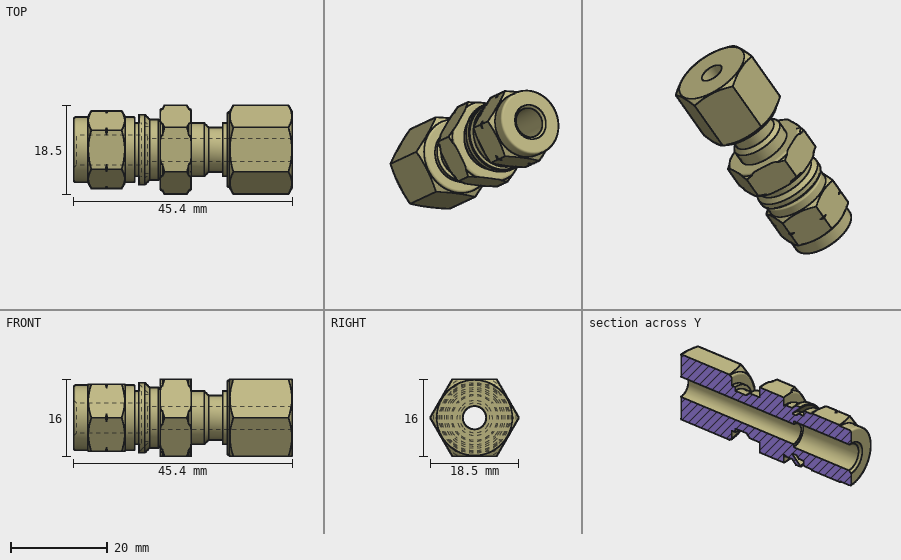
import cadquery as cq
import math


LENGTH = 45.39
CORNER_ANGLE = math.radians(30)

NUT_DIAMETER = 13.6
NUT_ACROSS_FLATS = 14.0
NUT_HEX_START = 2.93
NUT_HEX_END = 10.7
NUT_END = 12.7
NUT_FRONT_FILLET = 0.45
NUT_BACK_FILLET = 0.3

NOTCH_BOTTOM_RADIUS = 7.68
NOTCH_HALF_WIDTH = 0.2

NECK_DIAMETER = 11.11
FLANGE_START = 13.55
FLANGE_END = 14.8
FLANGE_DIAMETER = 14.6
SHOULDER_START = 15.75
SHOULDER_END = 17.55
SHOULDER_DIAMETER = 12.6
STEM_CONE_START = 27.1
STEM_CONE_END = 28.0
STEM_DIAMETER = 9.3
COLLAR_START = 30.9

FLANGE_RECESS_DIAMETER = 14.1
NECK_END = 14.0
RELIEF_DIAMETER = 9.8

ACROSS_FLATS = 16.0
BODY_HEX_START = 17.95
BODY_HEX_END = 24.4
BODY_HEX_RIM_RADIUS = 8.55
END_HEX_START = 31.85
END_HEX_RIM_RADIUS = 7.85
RIM_FILLET = 0.5

BORE_DIAMETER = 4.8
SOCKET_DIAMETER = 6.2
SOCKET_DEPTH = 15.3
SOCKET_CHAMFER = 0.55


def cylinder(start, end, diameter):
    return cq.Workplane("YZ", origin=(start, 0, 0)).circle(diameter / 2).extrude(end - start)


def revolve_about_x(profile):
    """Revolve a closed profile of (x, radius) points about the X axis."""
    return profile.close().revolve(360, (0, 0, 0), (1, 0, 0))


def corner_radius(across_flats):
    return across_flats / math.sqrt(3)


def corner_chamfer_length(across_flats, start_radius):
    """Axial length of the corner cone from start_radius out to the hexagon corners."""
    return (corner_radius(across_flats) - start_radius) * math.tan(CORNER_ANGLE)


def hexagon(start, end, across_flats):
    """Hexagonal prism along X with corners on +Y and -Y and flats facing +Z and -Z."""
    diagonal = 2 * corner_radius(across_flats)
    return cq.Workplane("YZ", origin=(start, 0, 0)).polygon(6, diagonal).extrude(end - start)


def tube_nut():
    radius = NUT_DIAMETER / 2
    corner = corner_radius(NUT_ACROSS_FLATS)
    chamfer = corner_chamfer_length(NUT_ACROSS_FLATS, radius)
    barrel = cylinder(0, NUT_END, NUT_DIAMETER).faces("<X").edges().fillet(NUT_FRONT_FILLET)
    barrel = barrel.faces(">X").edges().fillet(NUT_BACK_FILLET)
    envelope = revolve_about_x(
        cq.Workplane("XY")
        .moveTo(NUT_HEX_START, 0)
        .lineTo(NUT_HEX_START, radius)
        .lineTo(NUT_HEX_START + chamfer, corner)
        .lineTo(NUT_HEX_END - chamfer, corner)
        .lineTo(NUT_HEX_END, radius)
        .lineTo(NUT_HEX_END, 0)
    )
    prism = hexagon(NUT_HEX_START, NUT_HEX_END, NUT_ACROSS_FLATS)
    return prism.intersect(envelope).cut(corner_notch()).union(barrel)


def corner_notch():
    middle = (NUT_HEX_START + NUT_HEX_END) / 2
    corner = corner_radius(NUT_ACROSS_FLATS)
    return revolve_about_x(
        cq.Workplane("XY")
        .moveTo(middle, NOTCH_BOTTOM_RADIUS)
        .lineTo(middle + NOTCH_HALF_WIDTH, corner)
        .lineTo(middle - NOTCH_HALF_WIDTH, corner)
    )


def turned_body():
    """Neck, recessed flange, shoulder, stem and collar; the recess and relief cones are at 45 degrees."""
    neck = NECK_DIAMETER / 2
    recess = FLANGE_RECESS_DIAMETER / 2
    relief = RELIEF_DIAMETER / 2
    recess_bottom = FLANGE_START + recess - relief
    flange = FLANGE_DIAMETER / 2
    shoulder = SHOULDER_DIAMETER / 2
    stem = STEM_DIAMETER / 2
    shoulder_chamfer = BODY_HEX_START - SHOULDER_END
    return revolve_about_x(
        cq.Workplane("XY")
        .moveTo(NUT_END, 0)
        .lineTo(NUT_END, neck)
        .lineTo(NECK_END, neck)
        .lineTo(NECK_END + neck - relief, relief)
        .lineTo(recess_bottom, relief)
        .lineTo(FLANGE_START, recess)
        .lineTo(FLANGE_START, flange)
        .lineTo(FLANGE_END, flange)
        .lineTo(SHOULDER_START, shoulder)
        .lineTo(SHOULDER_END, shoulder)
        .lineTo(BODY_HEX_START, shoulder - shoulder_chamfer)
        .lineTo(BODY_HEX_START, neck)
        .lineTo(STEM_CONE_START, neck)
        .lineTo(STEM_CONE_END, stem)
        .lineTo(COLLAR_START, stem)
        .lineTo(COLLAR_START, neck)
        .lineTo(END_HEX_START, neck)
        .lineTo(END_HEX_START, 0)
    )


def body_hexagon():
    """Middle hexagon, each end with a rounded rim followed by a corner cone."""
    rim = BODY_HEX_RIM_RADIUS
    corner = corner_radius(ACROSS_FLATS)
    chamfer = corner_chamfer_length(ACROSS_FLATS, rim)
    envelope = revolve_about_x(
        cq.Workplane("XY")
        .moveTo(BODY_HEX_START, 0)
        .lineTo(BODY_HEX_START, rim - RIM_FILLET)
        .radiusArc((BODY_HEX_START + RIM_FILLET, rim), RIM_FILLET)
        .lineTo(BODY_HEX_START + RIM_FILLET + chamfer, corner)
        .lineTo(BODY_HEX_END - RIM_FILLET - chamfer, corner)
        .lineTo(BODY_HEX_END - RIM_FILLET, rim)
        .radiusArc((BODY_HEX_END, rim - RIM_FILLET), RIM_FILLET)
        .lineTo(BODY_HEX_END, 0)
    )
    return hexagon(BODY_HEX_START, BODY_HEX_END, ACROSS_FLATS).intersect(envelope)


def end_hexagon():
    """End hexagon with a rounded round rim on its inner face and corner cones at both ends."""
    rim = END_HEX_RIM_RADIUS
    corner = corner_radius(ACROSS_FLATS)
    chamfer = corner_chamfer_length(ACROSS_FLATS, rim)
    envelope = revolve_about_x(
        cq.Workplane("XY")
        .moveTo(END_HEX_START, 0)
        .lineTo(END_HEX_START, rim - RIM_FILLET)
        .radiusArc((END_HEX_START + RIM_FILLET, rim), RIM_FILLET)
        .lineTo(END_HEX_START + RIM_FILLET + chamfer, corner)
        .lineTo(LENGTH - chamfer, corner)
        .lineTo(LENGTH, rim)
        .lineTo(LENGTH, 0)
    )
    return hexagon(END_HEX_START, LENGTH, ACROSS_FLATS).intersect(envelope)


def bore():
    """Through bore with a wider tube socket, chamfered at its mouth."""
    hole = BORE_DIAMETER / 2
    socket = SOCKET_DIAMETER / 2
    return revolve_about_x(
        cq.Workplane("XY")
        .moveTo(0, 0)
        .lineTo(0, socket + SOCKET_CHAMFER)
        .lineTo(SOCKET_CHAMFER, socket)
        .lineTo(SOCKET_DEPTH, socket)
        .lineTo(SOCKET_DEPTH, hole)
        .lineTo(LENGTH, hole)
        .lineTo(LENGTH, 0)
    )


result = turned_body().union(tube_nut()).union(body_hexagon()).union(end_hexagon()).cut(bore())